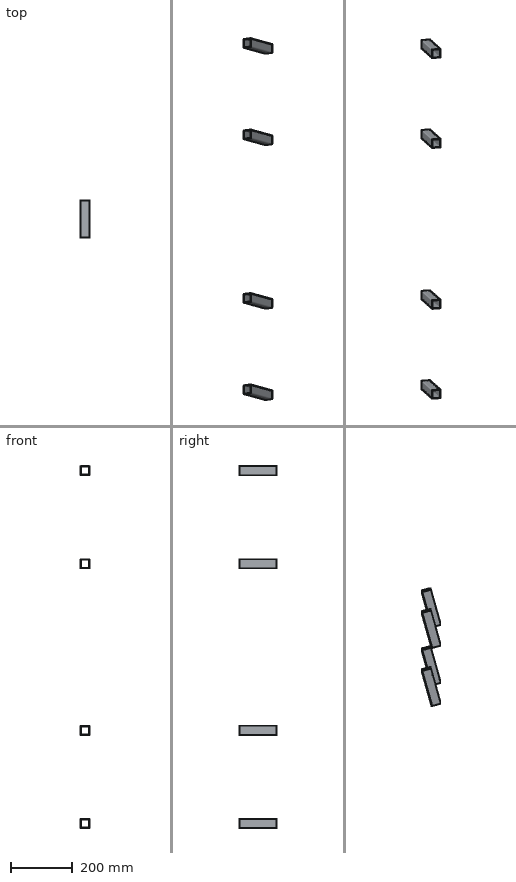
import cadquery as cq

stack_height = 1174.0
tube_width = 30.0
tube_length = 121.0

wall = 3.0
outer_radius = 4.0
inner_radius = outer_radius - wall

outer_height = (stack_height - tube_width) / 2
inner_height = 270.0
tube_heights = [-outer_height, -inner_height, inner_height, outer_height]


def rounded_bar(width, radius):
    """Square bar along Y, centred on the origin, with its long edges rounded."""
    return cq.Workplane("XY").box(width, tube_length, width).edges("|Y").fillet(radius)


def square_tube(height):
    """Open-ended square tube along Y, centred at the given height."""
    outside = rounded_bar(tube_width, outer_radius)
    bore = rounded_bar(tube_width - 2 * wall, inner_radius)
    return outside.cut(bore).translate((0, 0, height))


tubes = [square_tube(height) for height in tube_heights]

result = cq.Compound.makeCompound([tube.val() for tube in tubes])